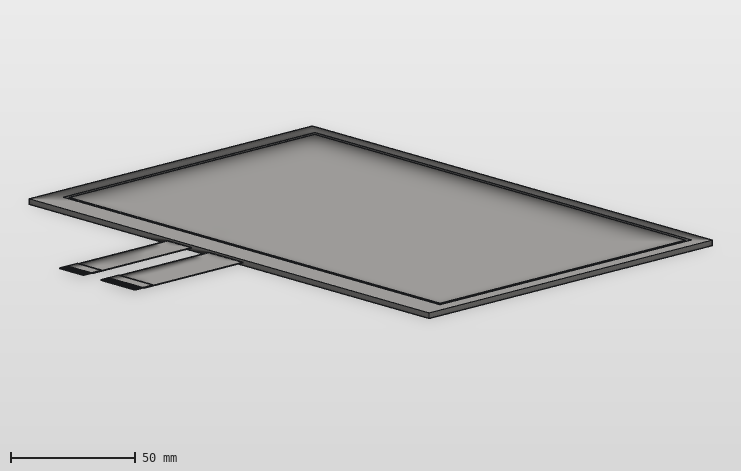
import cadquery as cq

PANEL_WIDTH = 233.5
PANEL_HEIGHT = 157.0
PANEL_THICKNESS = 2.35

WINDOW_WIDTH = 219.7
WINDOW_HEIGHT = 139.3
WINDOW_CENTER_X = 0.8
WINDOW_CENTER_Y = 2.9
WINDOW_LEDGE = 1.65
STEP_DEPTH = 0.1

OVERALL_LENGTH = 216.8
TAIL_LENGTH = OVERALL_LENGTH - PANEL_HEIGHT
NARROW_TAIL_LEFT = -35.9
NARROW_TAIL_CONTACTS = 27
WIDE_TAIL_LEFT = -11.85
WIDE_TAIL_CONTACTS = 39

FILM_BOTTOM = 1.3
FILM_THICKNESS = 0.1
COVER_THICKNESS = 0.2
STIFFENER_LENGTH = 10.0
STIFFENER_THICKNESS = 0.2

CONTACT_PITCH = 0.5
CONTACT_WIDTH = 0.3
CONTACT_LENGTH = 5.0
CONTACT_THICKNESS = 0.03

FRONT_EDGE = -PANEL_HEIGHT / 2
TIP = FRONT_EDGE - TAIL_LENGTH


def block(x, y, z, width, length, height):
    """Box given by its lowest corner and its sizes."""
    return cq.Workplane("XY").box(width, length, height, centered=False).translate((x, y, z))


def window_cut(inset, depth):
    """Rectangular pocket in the top face, inset from the window outline."""
    width = WINDOW_WIDTH - 2 * inset
    height = WINDOW_HEIGHT - 2 * inset
    left = WINDOW_CENTER_X - width / 2
    front = WINDOW_CENTER_Y - height / 2
    return block(left, front, PANEL_THICKNESS - depth, width, height, depth)


def panel():
    """Flat panel with the stepped window sunk into its top face."""
    body = block(-PANEL_WIDTH / 2, FRONT_EDGE, 0, PANEL_WIDTH, PANEL_HEIGHT, PANEL_THICKNESS)
    body = body.cut(window_cut(0, STEP_DEPTH))
    return body.cut(window_cut(WINDOW_LEDGE, 2 * STEP_DEPTH))


def contact(tail_left, index):
    """One contact strip under the film; the first is centred one pitch in from the tail's side."""
    left = tail_left + (index + 1) * CONTACT_PITCH - CONTACT_WIDTH / 2
    bottom = FILM_BOTTOM - CONTACT_THICKNESS
    return block(left, TIP, bottom, CONTACT_WIDTH, CONTACT_LENGTH, CONTACT_THICKNESS)


def tail(left, count):
    """Flexible tail with a stiffened tip carrying a row of contacts."""
    width = (count + 1) * CONTACT_PITCH
    film_top = FILM_BOTTOM + FILM_THICKNESS
    cover_bottom = FILM_BOTTOM - COVER_THICKNESS
    film = block(left, TIP, FILM_BOTTOM, width, TAIL_LENGTH, FILM_THICKNESS)
    stiffener = block(left, TIP, film_top, width, STIFFENER_LENGTH, STIFFENER_THICKNESS)
    cover_length = TAIL_LENGTH - CONTACT_LENGTH
    cover = block(left, TIP + CONTACT_LENGTH, cover_bottom, width, cover_length, COVER_THICKNESS)
    body = film.union(stiffener).union(cover)
    for index in range(count):
        body = body.union(contact(left, index))
    return body


result = (
    panel()
    .union(tail(NARROW_TAIL_LEFT, NARROW_TAIL_CONTACTS))
    .union(tail(WIDE_TAIL_LEFT, WIDE_TAIL_CONTACTS))
)